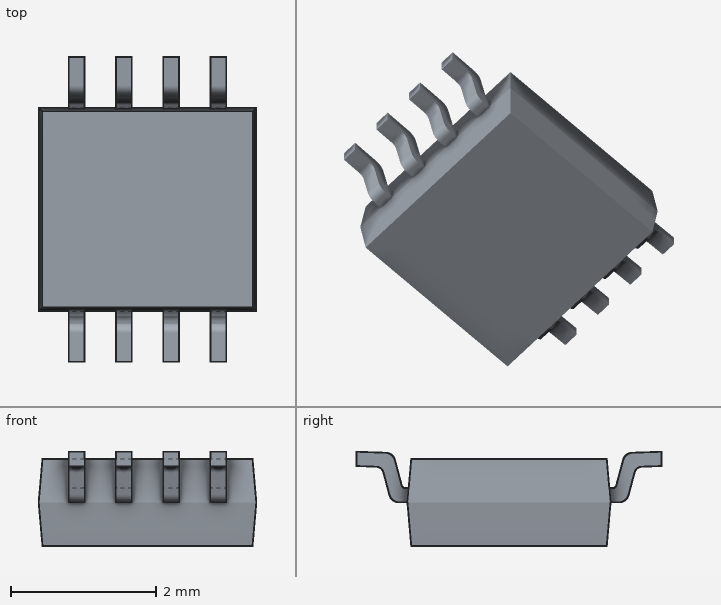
import math

import cadquery as cq

BODY_LENGTH = 3.0
BODY_WIDTH = 2.8
HALF_HEIGHT = 0.6
DRAFT_ANGLE = 5.0

LEAD_COUNT = 4
LEAD_PITCH = 0.65
LEAD_WIDTH = 0.22
LEAD_THICKNESS = 0.2
LEAD_SPAN = 4.2
FOOT_TOP = 0.7
FOOT_TILT = 2.0
LEG_LEAN = 15.0
LEG_HEEL = 1.62
LEAD_EMBED = 0.2

LOWER_INNER_RADIUS = 0.04
LOWER_OUTER_RADIUS = 0.14
UPPER_INNER_RADIUS = 0.1
UPPER_OUTER_RADIUS = 0.14


def body_half(extrusion):
    """Drafted half of the body, from the parting plane."""
    return cq.Workplane("XY").rect(BODY_LENGTH, BODY_WIDTH).extrude(extrusion, taper=DRAFT_ANGLE)


def make_lead():
    """One lead on the +Y side, centred on X = 0."""
    tip = LEAD_SPAN / 2
    root = BODY_WIDTH / 2 - LEAD_EMBED
    lean = math.tan(math.radians(LEG_LEAN))
    tilt = math.tan(math.radians(FOOT_TILT))
    inner_heel = LEG_HEEL - LEAD_THICKNESS / math.cos(math.radians(LEG_LEAN))
    foot_bottom = FOOT_TOP - LEAD_THICKNESS / math.cos(math.radians(FOOT_TILT))

    def knee(heel, foot_height):
        """Sharp corner where a leg face starting at heel meets a foot face."""
        z = (foot_height - (tip - heel) * tilt) / (1 - lean * tilt)
        return heel + z * lean, z

    lower_outer = (LEG_HEEL, 0)
    lower_inner = (inner_heel + LEAD_THICKNESS * lean, LEAD_THICKNESS)
    upper_inner = knee(LEG_HEEL, foot_bottom)
    upper_outer = knee(inner_heel, FOOT_TOP)
    outline = [
        (root, 0),
        lower_outer,
        upper_inner,
        (tip, foot_bottom),
        (tip, FOOT_TOP),
        upper_outer,
        lower_inner,
        (root, LEAD_THICKNESS),
    ]
    lead = cq.Workplane("YZ").polyline(outline).close().extrude(LEAD_WIDTH / 2, both=True)

    bends = [
        (lower_outer, LOWER_OUTER_RADIUS),
        (lower_inner, LOWER_INNER_RADIUS),
        (upper_inner, UPPER_INNER_RADIUS),
        (upper_outer, UPPER_OUTER_RADIUS),
    ]
    for (y, z), radius in bends:
        corner = cq.NearestToPointSelector((0, y, z))
        lead = lead.edges("|X").edges(corner).fillet(radius)
    return lead


result = body_half(HALF_HEIGHT).union(body_half(-HALF_HEIGHT))

front_lead = make_lead().mirror("XZ")
rear_lead = make_lead()
for index in range(LEAD_COUNT):
    x = (index - (LEAD_COUNT - 1) / 2) * LEAD_PITCH
    for lead in (front_lead, rear_lead):
        result = result.union(lead.translate((x, 0, 0)))